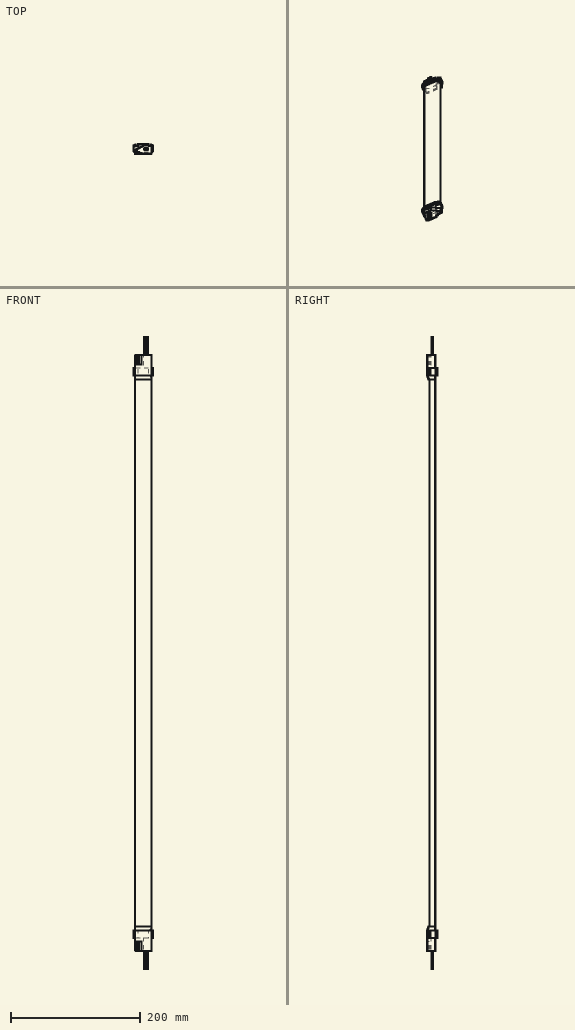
import cadquery as cq

total_length = 976.0
overall_depth = 15.53
front_face = -overall_depth / 2
back_face = overall_depth / 2

bar_width = 26.0
bar_front = -4.5
bar_back = 5.0
bar_front_radius = 3.4
bar_back_radius = 3.0

cap_width = bar_width
cap_back = bar_back
cap_inner_z = 422.5
cap_outer_z = 460.5
cap_corner_radius = 2.0
end_chamfer = 2.0

rim_drop = 2.0

corner_cut_z = 445.5
step_widths = (10.0, 6.5, 3.0)
step_depths = (1.5, 3.0, 4.5)
slant_width = 13.0
slant_depth = 7.0

band_width = 30.6
band_inner_z = 428.5
band_outer_z = 440.0
band_corner_width = 5.0
band_front_corner_depth = 5.0
band_back_corner_depth = 3.0
notch_width = 4.0
notch_depth = back_face - cap_back
notch_offset = 10.3

wire_diameter = 3.0
wire_spacing = 2.8
wire_pair_x = 4.4


def block(x_size, y_range, z_range, x_center=0.0):
    """Box centred on x_center in X that spans the given Y and Z ranges."""
    y_size = y_range[1] - y_range[0]
    z_size = z_range[1] - z_range[0]
    corner = (x_center - x_size / 2, y_range[0], z_range[0])
    return cq.Workplane("XY").box(x_size, y_size, z_size, centered=False).translate(corner)


def make_bar():
    """Bar reaching just to the clip bands at both ends."""
    bar = block(bar_width, (bar_front, bar_back), (-band_inner_z, band_inner_z))
    bar = bar.edges("|Z and <Y").fillet(bar_front_radius)
    return bar.edges("|Z and >Y").fillet(bar_back_radius)


def make_rim_wedge():
    """Sliver that slopes the front of the cap between the bar and the clip band."""
    outline = [
        (front_face, cap_inner_z),
        (front_face + rim_drop, cap_inner_z),
        (front_face, band_inner_z),
    ]
    return cq.Workplane("YZ").polyline(outline).close().extrude(cap_width / 2, both=True)


def make_corner_steps():
    z_range = (corner_cut_z, cap_outer_z)
    steps = cq.Workplane("XY")
    for width, depth in zip(step_widths, step_depths):
        step_x = (width - cap_width) / 2
        steps = steps.add(block(width, (front_face, front_face + depth), z_range, step_x))
    return steps.combine()


def make_slant():
    """Triangular prism removed from the back left corner of the cap."""
    left = -cap_width / 2
    outline = [(left, cap_back), (left + slant_width, cap_back), (left, cap_back - slant_depth)]
    prism = cq.Workplane("XY").workplane(offset=band_outer_z).polyline(outline).close()
    return prism.extrude(cap_outer_z - band_outer_z)


def make_cap():
    cap = block(cap_width, (front_face, cap_back), (cap_inner_z, cap_outer_z))
    cap = cap.edges("|Z and >X").fillet(cap_corner_radius)
    cap = cap.edges("<X and >Z").chamfer(end_chamfer)
    return cap.cut(make_rim_wedge()).cut(make_corner_steps()).cut(make_slant())


def make_band():
    half_width = band_width / 2
    flat_half_width = half_width - band_corner_width
    side_front = front_face + band_front_corner_depth
    side_back = back_face - band_back_corner_depth
    outline = [
        (-flat_half_width, front_face),
        (flat_half_width, front_face),
        (half_width, side_front),
        (half_width, side_back),
        (flat_half_width, back_face),
        (-flat_half_width, back_face),
        (-half_width, side_back),
        (-half_width, side_front),
    ]
    band = cq.Workplane("XY").workplane(offset=band_inner_z).polyline(outline).close()
    band = band.extrude(band_outer_z - band_inner_z)
    for side in (-1, 1):
        notch = block(
            notch_width,
            (back_face - notch_depth, back_face),
            (band_inner_z, band_outer_z),
            side * notch_offset,
        )
        band = band.cut(notch)
    return band


def make_wires():
    wire_length = total_length / 2 - band_outer_z
    wire = cq.Workplane("XY").workplane(offset=band_outer_z).circle(wire_diameter / 2).extrude(wire_length)
    left_wire = wire.translate((wire_pair_x - wire_spacing / 2, 0, 0))
    right_wire = wire.translate((wire_pair_x + wire_spacing / 2, 0, 0))
    return left_wire.union(right_wire)


end_fitting = make_cap().union(make_band()).union(make_wires())
result = make_bar().union(end_fitting).union(end_fitting.mirror("XY"))